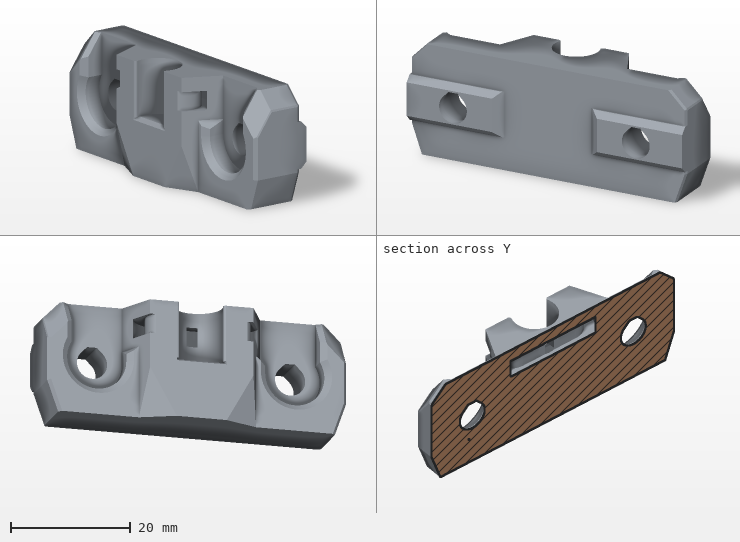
import cadquery as cq
import math


half_width = 26.0
height = 20.0
plate_depth = 9.4
top_bevel = 3.0
bottom_bevel_x = 1.9
bottom_bevel_z = 5.4
corner_chamfer = 3.4
edge_chamfer_x = 0.5
edge_chamfer_y = 0.6
back_chamfer_x = 0.25
back_chamfer_y = 0.5
end_edge_chamfer = 0.2

screw_x = 17.25
screw_z = 9.9
screw_radius = 2.62
roof_rise = 2.85
pocket_radius = 5.15
pocket_floor_y = -5.55
pocket_outer_x = 21.6
pocket_chamfer = 1.05
web_top_z = 12.45
web_reach = 3.0

block_depth = 12.0
block_half_front = 9.0
block_side_angle = 25.0
block_cut_z = 8.2
block_cut_x = 4.35

bore_radius = 4.1
bore_y = -10.1
bore_floor_z = 10.25
lip_radius = 0.4
sill_back_y = -10.95
sill_drop = 0.5
sill_front_half = 4.3

channel_bottom_z = 14.15
channel_top_z = 17.5
channel_center_x = 5.7
channel_center_y = -9.5
channel_inner_radius = 3.38
channel_thickness = 2.0

ridge_inner_x = 8.2
ridge_z = 10.05
ridge_height = 1.4
ridge_straight = 0.3
ridge_half_base = 4.1
ridge_end_run = 1.7
ridge_root_y = -0.5

overshoot = 1.0
cutter_size = 100.0
select_margin = 0.1

side_slope = math.tan(math.radians(block_side_angle))
block_half_back = block_half_front + (block_depth + pocket_floor_y) * side_slope
block_half_at_plate = block_half_front + (block_depth - plate_depth) * side_slope


def shave(solid, point, normal):
    """Remove everything beyond the plane through point, on the side normal points to."""
    cutter = cq.Workplane(cq.Plane(origin=point, normal=normal)).rect(cutter_size, cutter_size)
    return solid.cut(cutter.extrude(cutter_size))


def shave_through(solid, a, b, c, outward):
    """Remove everything beyond the plane through three points, towards outward."""
    normal = (cq.Vector(*b) - cq.Vector(*a)).cross(cq.Vector(*c) - cq.Vector(*a))
    if normal.dot(cq.Vector(*outward)) < 0:
        normal = normal * -1
    return shave(solid, a, normal.toTuple())


def half_plate():
    """Left half of the plate with its bevelled and chamfered end."""
    plate = cq.Workplane("XY").box(half_width, plate_depth, height, centered=False)
    plate = plate.translate((-half_width, -plate_depth, 0))
    end_top = height - top_bevel
    bottom_x = bottom_bevel_x - half_width

    plate = shave(plate, (-half_width, 0, end_top), (-1, 0, 1))
    lower_normal = (-bottom_bevel_z, 0, -bottom_bevel_x)
    plate = shave(plate, (bottom_x, 0, 0), lower_normal)
    bevel_normal = cq.Vector(-1, 0, 1).normalized()
    corner_normal = bevel_normal + cq.Vector(0, -1, 0)
    corner_point = (-half_width, corner_chamfer - plate_depth, end_top)
    plate = shave(plate, corner_point, corner_normal.toTuple())

    lower_out = cq.Vector(*lower_normal).normalized()
    for point_x, point_z, out in (
        (-half_width, bottom_bevel_z, cq.Vector(-1, 0, 0)),
        (bottom_x, 0, lower_out),
    ):
        front = (point_x, edge_chamfer_y - plate_depth, point_z)
        normal = out * edge_chamfer_y + cq.Vector(0, -edge_chamfer_x, 0)
        plate = shave(plate, front, normal.toTuple())

    for point_x, point_z, out in (
        (-half_width, end_top, bevel_normal),
        (-half_width, bottom_bevel_z, cq.Vector(-1, 0, 0)),
        (bottom_x, 0, lower_out),
    ):
        normal = out * back_chamfer_y + cq.Vector(0, back_chamfer_x, 0)
        plate = shave(plate, (point_x, -back_chamfer_y, point_z), normal.toTuple())

    end_normal = cq.Vector(-1, 0, 0)
    for point, normal in (
        ((-half_width, 0, end_top - end_edge_chamfer), bevel_normal),
        (
            (-half_width, corner_chamfer - plate_depth, end_top - end_edge_chamfer * math.sqrt(2)),
            corner_normal.normalized(),
        ),
    ):
        plate = shave(plate, point, (normal + end_normal).toTuple())
    return plate


def pocket_cutter():
    """Round-bottomed pocket around the screw, open to the top and the front."""
    depth = plate_depth + pocket_floor_y + overshoot
    inner_x = screw_x - pocket_radius
    end_angle = math.acos((pocket_outer_x - screw_x) / pocket_radius)
    mid_angle = end_angle / 2
    return (
        cq.Workplane("XZ", origin=(0, pocket_floor_y, 0))
        .moveTo(-inner_x, height + overshoot)
        .lineTo(-inner_x, screw_z)
        .threePointArc((-screw_x, screw_z - pocket_radius), (-screw_x - pocket_radius, screw_z))
        .threePointArc(
            (-screw_x - pocket_radius * math.cos(mid_angle), screw_z + pocket_radius * math.sin(mid_angle)),
            (-pocket_outer_x, screw_z + pocket_radius * math.sin(end_angle)),
        )
        .lineTo(-pocket_outer_x, height + overshoot)
        .close()
        .extrude(depth)
    )


def cut_pocket(plate):
    """Cut the screw pocket and chamfer its rim."""
    plate = plate.cut(pocket_cutter())
    rim_back_y = (pocket_floor_y - plate_depth) / 2 - select_margin
    rim = cq.selectors.BoxSelector(
        (-pocket_outer_x - select_margin, -plate_depth - select_margin, 0),
        (pocket_radius - screw_x + select_margin, rim_back_y, height + overshoot),
    )
    return plate.edges(rim).chamfer(pocket_chamfer)


def cut_web_top(plate):
    """Slope the web between pocket and block at 45 degrees, falling away from the block."""
    angle = math.radians(block_side_angle)
    backward_along_side = (-math.sin(angle), math.cos(angle), 0)
    away_from_block = (-math.cos(angle), -math.sin(angle), 0)
    side = cq.Plane((-block_half_back, pocket_floor_y, 0), away_from_block, backward_along_side)
    top = height + overshoot
    cutter = (
        cq.Workplane(side)
        .polyline([(0, web_top_z), (web_reach, web_top_z - web_reach), (web_reach, top), (0, top)])
        .close()
        .extrude(-plate_depth)
    )
    return plate.cut(cutter)


def cut_screw_hole(plate):
    """Screw hole with a flat-topped 45 degree roof."""
    roof = screw_radius / math.sqrt(2)
    flat_half = screw_radius * math.sqrt(2) - roof_rise
    hole = (
        cq.Workplane("XZ", origin=(-screw_x, plate_depth, screw_z))
        .moveTo(-roof, roof)
        .threePointArc((0, -screw_radius), (roof, roof))
        .lineTo(flat_half, roof_rise)
        .lineTo(-flat_half, roof_rise)
        .close()
        .extrude(2 * plate_depth)
    )
    return plate.cut(hole)


def half_ridge():
    """Back ridge with 45 degree flanks, a sloped inner end and a flush outer end."""
    flank = ridge_height - ridge_straight
    half_crest = ridge_half_base - flank
    ridge = (
        cq.Workplane("YZ", origin=(-half_width, 0, ridge_z))
        .polyline([
            (ridge_root_y, -ridge_half_base),
            (ridge_straight, -ridge_half_base),
            (ridge_height, -half_crest),
            (ridge_height, half_crest),
            (ridge_straight, ridge_half_base),
            (ridge_root_y, ridge_half_base),
        ])
        .close()
        .extrude(half_width - ridge_inner_x)
    )
    return shave(ridge, (-ridge_inner_x, 0, 0), (ridge_height, ridge_end_run, 0))


def half_block():
    """Left half of the tapered central block with its lower corner cut."""
    block = (
        cq.Workplane("XY")
        .polyline([
            (0, pocket_floor_y),
            (-block_half_back, pocket_floor_y),
            (-block_half_front, -block_depth),
            (0, -block_depth),
        ])
        .close()
        .extrude(height)
    )
    return shave_through(
        block,
        (-block_half_front, -block_depth, block_cut_z),
        (-block_cut_x, -block_depth, 0),
        (-block_half_at_plate, -plate_depth, 0),
        (-1, -1, -1),
    )


def cut_bore(part):
    """Blind vertical bore open to the front, with rounded lips and a sloping sill."""
    bore = cq.Workplane("XY", origin=(0, bore_y, bore_floor_z)).circle(bore_radius).extrude(height)
    part = part.cut(bore)

    lip_x = math.sqrt(bore_radius**2 - (block_depth + bore_y) ** 2)
    lips = cq.selectors.BoxSelector(
        (-lip_x - select_margin, -block_depth - select_margin, bore_floor_z + select_margin),
        (lip_x + select_margin, -block_depth + select_margin, height - select_margin),
    )
    part = part.edges("|Z").edges(lips).fillet(lip_radius)

    sill_back_half = math.sqrt(bore_radius**2 - (sill_back_y - bore_y) ** 2)
    sill_run = sill_back_y + block_depth
    sill = (
        cq.Workplane("XY", origin=(0, 0, bore_floor_z - sill_drop))
        .polyline([
            (-sill_back_half, sill_back_y),
            (sill_back_half, sill_back_y),
            (sill_front_half, -block_depth),
            (-sill_front_half, -block_depth),
        ])
        .close()
        .extrude(sill_drop)
    )
    sill = shave(sill, (0, sill_back_y, bore_floor_z), (0, sill_drop, -sill_run))
    return part.cut(sill)


def channel_cutter():
    """Ring-shaped strap channel with straight back and round ends, passing behind the bore."""
    outer_radius = channel_inner_radius + channel_thickness
    inner, outer = (
        cq.Workplane("XY", origin=(0, channel_center_y, channel_bottom_z))
        .slot2D(2 * (channel_center_x + radius), 2 * radius)
        .extrude(channel_top_z - channel_bottom_z)
        for radius in (channel_inner_radius, outer_radius)
    )
    return outer.cut(inner)


left_plate = cut_web_top(cut_pocket(half_plate())).union(half_ridge())
left_half = cut_screw_hole(left_plate).union(half_block())
whole = left_half.union(left_half.mirror("YZ"))
result = cut_bore(whole).cut(channel_cutter())